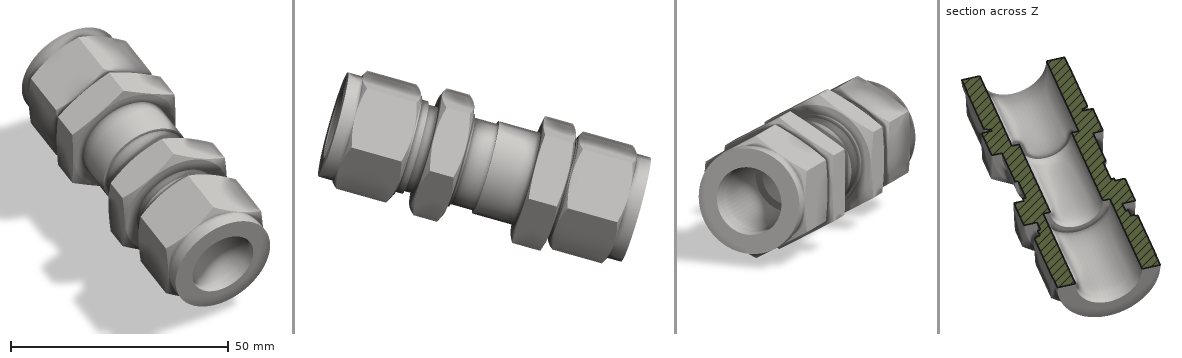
import cadquery as cq
import math

length = 72.5

nut_across_flats = 25.1
collar_diameter = 24.95
collar_length = 3.3
nut_hex_length = 14.1
nut_hex_end = collar_length + nut_hex_length
nut_chamfer_circle = collar_diameter
nut_chamfer_depth = 1.1

washer_diameter = 23.8
washer_length = 0.35

large_across_flats = 27.0
large_hex_length = 7.9
large_chamfer_circle = 26.5
body_hex_start = 18.2
body_hex_outer_chamfer_depth = 0.7
body_hex_inner_chamfer_depth = 0.4
locknut_start = 42.55
locknut_chamfer_depth = 1.15

body_diameter = 22.1
neck_diameter = 20.65
shoulder_end = 36.0
locknut_collar_length = 0.8
thread_end = 52.85

socket_diameter = 16.0
socket_depth = 24.35
passage_diameter = 12.6


def cylinder(diameter, start, end):
    """Round bar along X from start to end."""
    return cq.Workplane("YZ", origin=(start, 0, 0)).circle(diameter / 2).extrude(end - start)


def chamfered_hex(across_flats, start, hex_length, chamfer_circle, left_depth, right_depth):
    """Hexagon along X with two corners on Z, its corners turned down to a cone at each end."""
    corner_radius = across_flats / math.sqrt(3)
    end = start + hex_length
    prism = (
        cq.Workplane("YZ", origin=(start, 0, 0))
        .transformed(rotate=(0, 0, 90))
        .polygon(6, 2 * corner_radius)
        .extrude(hex_length)
    )
    turned_blank = (
        cq.Workplane("XZ")
        .moveTo(start, 0)
        .lineTo(start, chamfer_circle / 2)
        .lineTo(start + left_depth, corner_radius)
        .lineTo(end - right_depth, corner_radius)
        .lineTo(end, chamfer_circle / 2)
        .lineTo(end, 0)
        .close()
        .revolve(360, (0, 0, 0), (1, 0, 0))
    )
    return prism.intersect(turned_blank)


def tube_nut():
    """Left-hand nut: collar, hexagon and washer face."""
    nut_hex = chamfered_hex(
        nut_across_flats,
        collar_length,
        nut_hex_length,
        nut_chamfer_circle,
        nut_chamfer_depth,
        nut_chamfer_depth,
    )
    collar = cylinder(collar_diameter, 0, collar_length)
    washer = cylinder(washer_diameter, nut_hex_end, nut_hex_end + washer_length)
    return collar.union(nut_hex).union(washer)


left_nut = tube_nut()
right_nut = left_nut.mirror("YZ").translate((length, 0, 0))

body_hex = chamfered_hex(
    large_across_flats,
    body_hex_start,
    large_hex_length,
    large_chamfer_circle,
    body_hex_outer_chamfer_depth,
    body_hex_inner_chamfer_depth,
)
locknut = chamfered_hex(
    large_across_flats,
    locknut_start,
    large_hex_length,
    large_chamfer_circle,
    locknut_chamfer_depth,
    locknut_chamfer_depth,
)

shoulder = cylinder(body_diameter, nut_hex_end, shoulder_end)
thread = cylinder(neck_diameter, shoulder_end, thread_end)
locknut_collar = cylinder(body_diameter, locknut_start - locknut_collar_length, locknut_start)
thread_shoulder = cylinder(body_diameter, thread_end, length - nut_hex_end)

result = left_nut
for piece in (shoulder, body_hex, thread, locknut_collar, locknut, thread_shoulder, right_nut):
    result = result.union(piece)

result = result.cut(cylinder(passage_diameter, 0, length))
for socket_start in (0, length - socket_depth):
    result = result.cut(cylinder(socket_diameter, socket_start, socket_start + socket_depth))

result = result.translate((-length / 2, 0, 0))